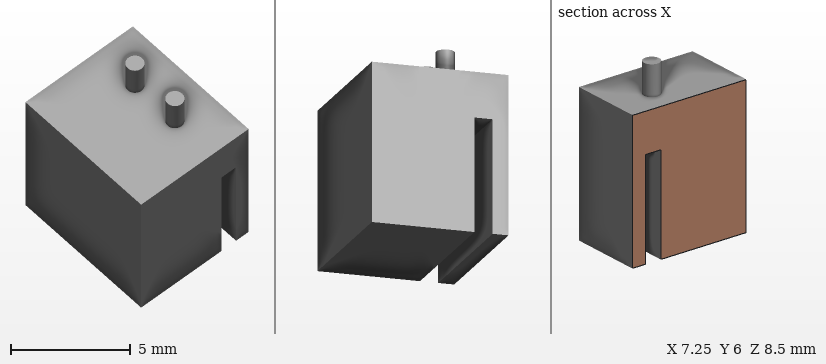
import cadquery as cq

body_width = 7.25
body_depth = 6.0
body_height = 7.0

slot_width = 0.8
slot_height = 5.0
back_wall = 0.7

pin_diameter = 0.8
pin_length = 1.5
pin_spacing = 2.5
pin_back_distance = 2.0

back_face_y = body_depth / 2


def make_body():
    return cq.Workplane("XY").box(body_width, body_depth, body_height, centered=(True, True, False))


def make_slot():
    slot_center_y = back_face_y - back_wall - slot_width / 2
    return (
        cq.Workplane("XY")
        .center(0, slot_center_y)
        .rect(body_width, slot_width)
        .extrude(slot_height)
    )


def make_pins():
    pin_y = back_face_y - pin_back_distance
    pin_centers = [(side * pin_spacing / 2, pin_y) for side in (-1, 1)]
    return (
        cq.Workplane("XY")
        .workplane(offset=body_height)
        .pushPoints(pin_centers)
        .circle(pin_diameter / 2)
        .extrude(pin_length)
    )


result = make_body().cut(make_slot()).union(make_pins())